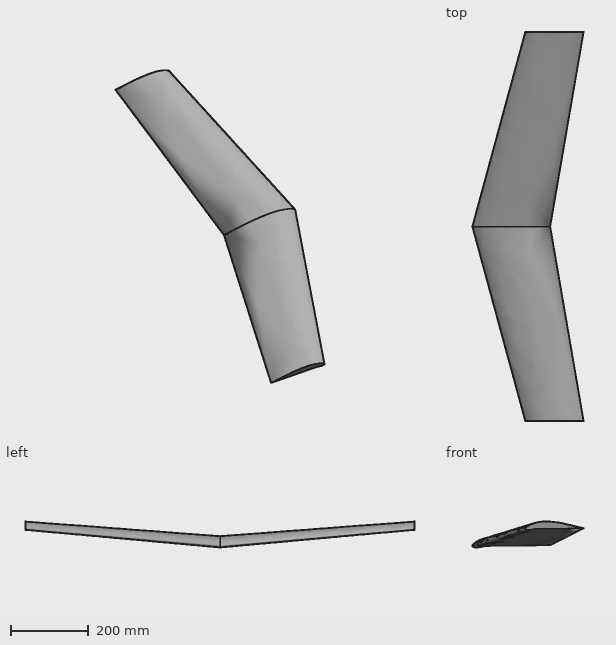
import cadquery as cq
import math

HALF_SPAN = 501.0
ROOT_CHORD = 200.0
TIP_CHORD = 150.0
TIP_SETBACK = 136.0
DIHEDRAL_DEG = 5.0
TIP_RISE = HALF_SPAN * math.tan(math.radians(DIHEDRAL_DEG))

TRAILING_EDGE = (1.0, 0.0)
UPPER_POINTS = [(0.8, 0.052), (0.6, 0.094), (0.4, 0.116), (0.25, 0.11), (0.12, 0.077), (0.03, 0.027)]
NOSE = (0.0, -0.013)
LOWER_POINTS = [(0.025, -0.027), (0.12, -0.021), (0.4, -0.012), (0.7, -0.005)]
AIRFOIL = [TRAILING_EDGE, *UPPER_POINTS, NOSE, *LOWER_POINTS, TRAILING_EDGE]


def airfoil_wire(chord, nose_x, y, z):
    """Airfoil outline parallel to XZ: one curve with a sharp trailing edge."""
    points = [cq.Vector(nose_x + chord * along, y, z + chord * height) for along, height in AIRFOIL]
    return cq.Wire.assembleEdges([cq.Edge.makeSpline(points)])


def half_wing():
    """Tapered, swept half wing reaching from the root toward +Y."""
    root = airfoil_wire(ROOT_CHORD, 0, 0, 0)
    tip = airfoil_wire(TIP_CHORD, TIP_SETBACK, HALF_SPAN, TIP_RISE)
    return cq.Solid.makeLoft([root, tip], True)


left_wing = half_wing()
right_wing = left_wing.mirror("XZ")

result = cq.Compound.makeCompound([left_wing, right_wing])